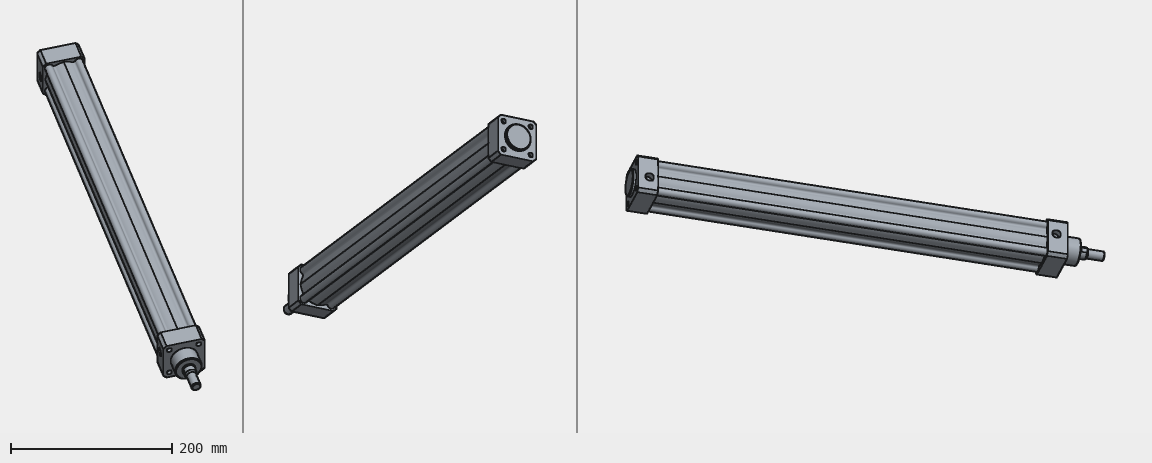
import cadquery as cq
import math


total_length = 613.0
rear_boss_length = 4.0
cap_length = 26.0
front_cap_end = 559.0
front_boss_length = 20.0
rear_cap_end = rear_boss_length + cap_length
front_cap_start = front_cap_end - cap_length
front_boss_end = front_cap_end + front_boss_length

cap_width = 54.0
cap_corner_diameter = 70.5
boss_diameter = 35.0
boss_chamfer = 1.0
screw_spacing = 38.0
screw_hole_radius = 3.0
screw_hole_depth = 6.0
port_radius = 5.5
port_depth = 9.0
port_inset = 11.0
port_offset = 4.6

barrel_radius = 23.0
lobe_radius = 5.2
lobe_spacing = 38.5
valley_radius = 3.0
ridge_half_width = 4.6
ridge_peak = 24.0

rod_radius = 8.0
thread_radius = 6.0
thread_length = 21.5
thread_chamfer = 1.0
rod_collar_radius = 8.5
rod_collar_length = 2.0
flat_start_gap = 1.0
rod_chamfer_length = 2.5
flat_offset = 7.5
rod_end = total_length - thread_length
flat_start = front_boss_end + rod_collar_length + flat_start_gap


def plane_at(x):
    """Plane across the axis: local x is +Y, local y is +Z, extrusion runs to +X."""
    return cq.Workplane("YZ", origin=(x, 0, 0))


def make_cap(outer_face, inner_face, boss_length, port_z):
    """Square cap with a chamfered boss, four screw holes on the outer face and a side port."""
    outward = 1 if outer_face > inner_face else -1
    cap = plane_at(inner_face).rect(cap_width, cap_width).extrude(outward * cap_length)
    corner_trim = plane_at(inner_face).circle(cap_corner_diameter / 2).extrude(outward * cap_length)
    cap = cap.intersect(corner_trim)
    boss = plane_at(outer_face).circle(boss_diameter / 2).extrude(outward * boss_length)
    boss = boss.faces(">X" if outward > 0 else "<X").chamfer(boss_chamfer)
    screw_holes = (
        plane_at(outer_face)
        .rect(screw_spacing, screw_spacing, forConstruction=True)
        .vertices()
        .circle(screw_hole_radius)
        .extrude(-outward * screw_hole_depth)
    )
    port_x = inner_face + outward * port_inset
    port = (
        cq.Workplane("XZ", origin=(port_x, -cap_width / 2, port_z))
        .circle(port_radius)
        .extrude(-port_depth)
    )
    return cap.union(boss).cut(screw_holes).cut(port)


def make_barrel():
    """Round barrel with a lobe at each corner, concave valleys and a shallow ridge on each side."""
    length = front_cap_start - rear_cap_end
    barrel = plane_at(rear_cap_end).circle(barrel_radius).extrude(length)
    lobes = (
        plane_at(rear_cap_end)
        .rect(lobe_spacing, lobe_spacing, forConstruction=True)
        .vertices()
        .circle(lobe_radius)
        .extrude(length)
    )
    barrel = barrel.union(lobes)
    barrel = barrel.edges("|X").fillet(valley_radius)
    ridge_base = math.sqrt(barrel_radius**2 - ridge_half_width**2)
    ridge = (
        plane_at(rear_cap_end)
        .polyline([(0, 0), (ridge_half_width, ridge_base), (0, ridge_peak), (-ridge_half_width, ridge_base)])
        .close()
        .extrude(length)
    )
    for angle in (0, 90, 180, 270):
        barrel = barrel.union(ridge.rotate((0, 0, 0), (1, 0, 0), angle))
    return barrel


def make_rod():
    """Rod end with a collar, two wrench flats facing -Y and +Y, and a chamfered thread stud."""
    shank = plane_at(front_boss_end).circle(rod_radius).extrude(rod_end - front_boss_end)
    shank = shank.faces(">X").chamfer(rod_chamfer_length, rod_radius - thread_radius)
    stud = plane_at(rod_end).circle(thread_radius).extrude(thread_length)
    stud = stud.faces(">X").chamfer(thread_chamfer)
    collar = plane_at(front_boss_end).circle(rod_collar_radius).extrude(rod_collar_length)
    rod_diameter = 2 * rod_radius
    flats = (
        plane_at(flat_start)
        .rect(rod_diameter, rod_diameter)
        .rect(2 * flat_offset, rod_diameter)
        .extrude(rod_end - flat_start)
    )
    return shank.cut(flats).union(collar).union(stud)


rear_cap = make_cap(rear_boss_length, rear_cap_end, rear_boss_length, -port_offset)
front_cap = make_cap(front_cap_end, front_cap_start, front_boss_length, port_offset)
barrel = make_barrel()
rod = make_rod()

result = cq.Compound.makeCompound([rear_cap.val(), barrel.val(), front_cap.val(), rod.val()])